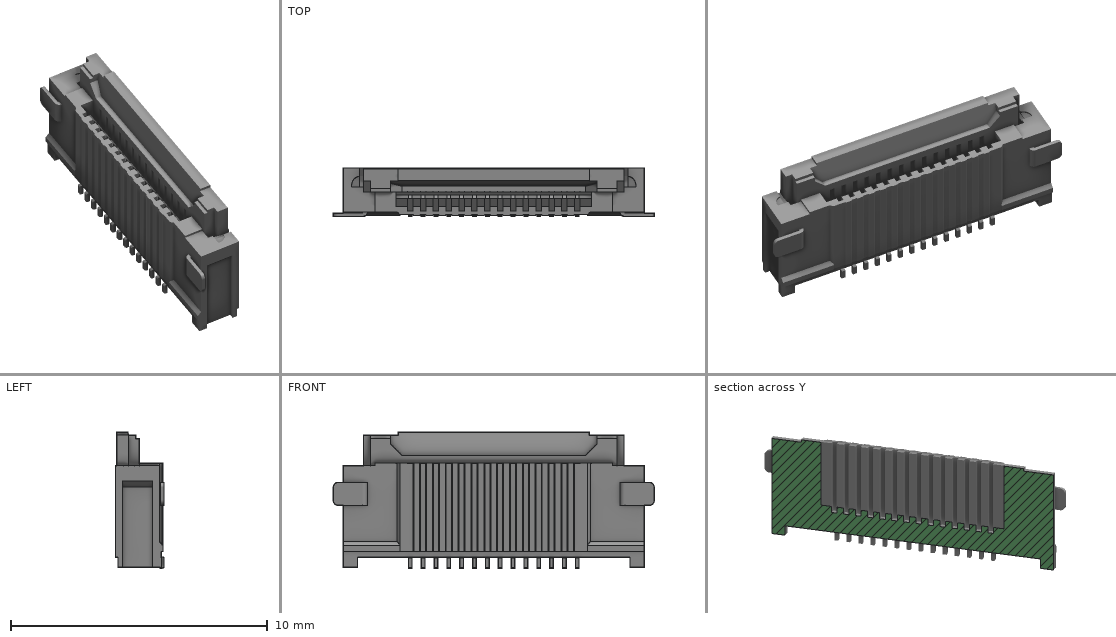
import cadquery as cq


CONTACT_COUNT = 14
PITCH = 0.5
CONTACT_WIDTH = 0.15
contact_xs = [(i - (CONTACT_COUNT - 1) / 2) * PITCH for i in range(CONTACT_COUNT)]
gap_xs = [x + PITCH / 2 for x in contact_xs[:-1]]

BODY_HALF = 5.86
BACK_Y = 0.95
WALL_Y = -0.88
FLANGE_Y = -0.91
BASE_Y = -0.84
FOOT_BOTTOM = 0.04
BODY_BOTTOM = 0.42
BASE_TOP = 0.65
BODY_TOP = 4.0
FOOT_HALF_GAP = 5.3
FOOT_BACK_Y = 0.85

LIP_HALF = 4.62
LIP_TOP = 4.1

PANEL_Y = -0.76
PANEL_INNER_X = 3.76
PANEL_BOTTOM = 1.04
MIDDLE_HALF = PANEL_INNER_X - (PANEL_Y - WALL_Y)
FLANGE_TOP = PANEL_BOTTOM - (PANEL_Y - FLANGE_Y)

RIB_HEIGHT = 0.04
RIB_ROOT_WIDTH = 0.3
RIB_CREST_WIDTH = 0.22

TOWER_HALF = 5.08
TOWER_FRONT_Y = 0.01
TOWER_BACK_Y = 0.9
TOWER_TOP = 5.19
CREST_HALF = 3.72
CREST_TOP = 5.3
CREST_FRONT_Y = 0.46
CORNER_NOTCH_WIDTH = 0.28
CORNER_NOTCH_Y = 0.44
NOTCH_FLOOR = 3.5
TOP_STEP_Y = 0.15
TOP_STEP_Z = 5.05

LEAD_HALF_TOP = 4.02
LEAD_HALF_BOTTOM = 3.58
LEAD_BOTTOM = 4.4
LEAD_CORNER_Z = LEAD_BOTTOM + (LEAD_HALF_TOP - LEAD_HALF_BOTTOM)
LEAD_BOTTOM_Y = 0.24

CAVITY_HALF = 3.8
CAVITY_FRONT_Y = -0.55
CAVITY_FLOOR = 1.5
TONGUE_BACK_Y = -0.1
TONGUE_FRONT_Y = -0.25
TONGUE_TOP = 3.38
CONTACT_TIP = 3.56
SLOT_WIDTH = 0.21
SLOT_FRONT_Y = -0.74
SLOT_BACK_Y = 0.19
SLOT_TOP = 4.08
SLOT_FLOOR = 1.25

POCKET_DEPTH = 0.2
POCKET_BACK_Y = 0.66
POCKET_FRONT_Y = -0.5
POCKET_TOP_OUTER = 3.4
POCKET_TOP_INNER = 3.16

LATCH_HALF = 5.52
LATCH_EDGE_X = 5.22
LATCH_FRONT_Y = 0.21
LATCH_BACK_Y = 0.62
LATCH_ARC_MIDDLE = (5.44, 0.51)
LATCH_DEPTH = 0.08
LATCH_SLOT_DEPTH = 0.15

TAB_TIP_X = 6.25
TAB_INNER_X = 4.91
TAB_FRONT_Y = -0.95
TAB_THICKNESS = 0.14
TAB_ROOT_Y = -0.62
TAB_BOTTOM = 2.45
TAB_TOP = 3.35
TAB_BEND_RADIUS = 0.19
TAB_CORNER_RADIUS = 0.2

TAIL_FRONT_Y = -0.95
TAIL_BACK_Y = -0.79
TAIL_SHOULDER = 0.45
TAIL_BEVEL = 0.04


def box(x0, x1, y0, y1, z0, z1):
    """Axis-aligned block between two opposite corners."""
    return cq.Workplane("XY").box(x1 - x0, y1 - y0, z1 - z0, centered=False).translate((x0, y0, z0))


def centered_box(half, y0, y1, z0, z1):
    return box(-half, half, y0, y1, z0, z1)


def side_profile(x0, x1, points):
    """Outline in (Y, Z) extruded from x0 to x1."""
    return cq.Workplane("YZ").workplane(offset=x0).polyline(points).close().extrude(x1 - x0)


def both_ends(solid):
    """The solid together with its mirror image across X = 0."""
    return solid.union(solid.mirror("YZ"))


def housing():
    body = centered_box(BODY_HALF, BASE_Y, BACK_Y, BODY_BOTTOM, BODY_TOP)
    body = body.union(centered_box(BODY_HALF, BASE_Y, FOOT_BACK_Y, FOOT_BOTTOM, BODY_BOTTOM))
    body = body.cut(centered_box(FOOT_HALF_GAP, BASE_Y, BACK_Y, FOOT_BOTTOM, BODY_BOTTOM))
    body = body.union(centered_box(LIP_HALF, BASE_Y, TOWER_FRONT_Y, BODY_TOP, LIP_TOP))
    return body.union(centered_box(MIDDLE_HALF, WALL_Y, BASE_Y, BASE_TOP, LIP_TOP))


def front_panels(body):
    """Recess both end panels, with bevelled borders to the middle wall and the bottom flange."""
    panel = box(MIDDLE_HALF, BODY_HALF, WALL_Y, PANEL_Y, BASE_TOP, LIP_TOP)
    flange = side_profile(
        MIDDLE_HALF,
        BODY_HALF,
        [(PANEL_Y, BASE_TOP), (FLANGE_Y, BASE_TOP), (FLANGE_Y, FLANGE_TOP), (PANEL_Y, PANEL_BOTTOM)],
    )
    side_bevel = (
        cq.Workplane("XY")
        .workplane(offset=BASE_TOP)
        .polyline([(MIDDLE_HALF, WALL_Y), (PANEL_INNER_X, PANEL_Y), (MIDDLE_HALF, PANEL_Y)])
        .close()
        .extrude(LIP_TOP - BASE_TOP)
    )
    return body.cut(both_ends(panel)).union(both_ends(side_bevel)).union(both_ends(flange))


def ribs():
    root = RIB_ROOT_WIDTH / 2
    crest = RIB_CREST_WIDTH / 2
    crest_y = WALL_Y - RIB_HEIGHT
    outline = [
        (-root, BASE_Y),
        (-root, WALL_Y),
        (-crest, crest_y),
        (crest, crest_y),
        (root, WALL_Y),
        (root, BASE_Y),
    ]
    rib = cq.Workplane("XY").workplane(offset=BASE_TOP).polyline(outline).close().extrude(LIP_TOP - BASE_TOP)
    row = rib.translate((gap_xs[0], 0, 0))
    for x in gap_xs[1:]:
        row = row.union(rib.translate((x, 0, 0)))
    return row


def corner_notch():
    """Cut along the front tower corner that also sinks into the housing top."""
    notch_x = TOWER_HALF - CORNER_NOTCH_WIDTH
    return box(notch_x, TOWER_HALF, TOWER_FRONT_Y, CORNER_NOTCH_Y, NOTCH_FLOOR, TOWER_TOP)


def tower():
    block = centered_box(TOWER_HALF, TOWER_FRONT_Y, TOWER_BACK_Y, BODY_TOP, TOWER_TOP)
    block = block.union(centered_box(CREST_HALF, LEAD_BOTTOM_Y, TOWER_BACK_Y, TOWER_TOP, CREST_TOP))
    top_step = centered_box(TOWER_HALF, TOWER_FRONT_Y, TOP_STEP_Y, TOP_STEP_Z, TOWER_TOP)
    return block.cut(top_step).cut(lead_in())


def lead_in():
    """Sloped opening: a chamfer-cornered front outline limited by an inclined back face."""
    outline = (
        cq.Workplane("XZ")
        .polyline(
            [
                (-LEAD_HALF_TOP, CREST_TOP),
                (-LEAD_HALF_TOP, LEAD_CORNER_Z),
                (-LEAD_HALF_BOTTOM, LEAD_BOTTOM),
                (LEAD_HALF_BOTTOM, LEAD_BOTTOM),
                (LEAD_HALF_TOP, LEAD_CORNER_Z),
                (LEAD_HALF_TOP, CREST_TOP),
            ]
        )
        .close()
        .extrude(-CREST_FRONT_Y)
    )
    slope = side_profile(
        -LEAD_HALF_TOP,
        LEAD_HALF_TOP,
        [
            (TOWER_FRONT_Y, LEAD_BOTTOM),
            (LEAD_BOTTOM_Y, LEAD_BOTTOM),
            (CREST_FRONT_Y, CREST_TOP),
            (TOWER_FRONT_Y, CREST_TOP),
        ],
    )
    return outline.intersect(slope)


def contact_cavity(body):
    body = body.cut(centered_box(CAVITY_HALF, CAVITY_FRONT_Y, TOWER_FRONT_Y, CAVITY_FLOOR, LIP_TOP))
    for x in contact_xs:
        left = x - SLOT_WIDTH / 2
        right = x + SLOT_WIDTH / 2
        body = body.cut(box(left, right, SLOT_FRONT_Y, TONGUE_FRONT_Y, SLOT_FLOOR, LIP_TOP))
        body = body.cut(box(left, right, TOWER_FRONT_Y, SLOT_BACK_Y, CAVITY_FLOOR, SLOT_TOP))
    body = body.union(centered_box(CAVITY_HALF, TONGUE_FRONT_Y, TONGUE_BACK_Y, CAVITY_FLOOR, TONGUE_TOP))
    tip = [
        (TONGUE_FRONT_Y, TONGUE_TOP),
        (TONGUE_BACK_Y, TONGUE_TOP),
        (TONGUE_FRONT_Y, CONTACT_TIP),
    ]
    for x in contact_xs:
        body = body.union(side_profile(x - CONTACT_WIDTH / 2, x + CONTACT_WIDTH / 2, tip))
    return body


def end_pocket():
    inner_x = BODY_HALF - POCKET_DEPTH
    return (
        cq.Workplane("XZ", origin=(0, POCKET_BACK_Y, 0))
        .polyline(
            [
                (inner_x, FOOT_BOTTOM),
                (BODY_HALF, FOOT_BOTTOM),
                (BODY_HALF, POCKET_TOP_OUTER),
                (inner_x, POCKET_TOP_INNER),
            ]
        )
        .close()
        .extrude(POCKET_BACK_Y - POCKET_FRONT_Y)
    )


def latch_recess():
    """Shallow round-cornered recess, with a sloped slot open to the back along the tower."""
    shallow = (
        cq.Workplane("XY")
        .workplane(offset=BODY_TOP - LATCH_DEPTH)
        .moveTo(TOWER_HALF, LATCH_FRONT_Y)
        .lineTo(LATCH_HALF, LATCH_FRONT_Y)
        .threePointArc(LATCH_ARC_MIDDLE, (LATCH_EDGE_X, LATCH_BACK_Y))
        .lineTo(TOWER_HALF, LATCH_BACK_Y)
        .close()
        .extrude(LATCH_DEPTH)
    )
    slot = side_profile(
        TOWER_HALF,
        LATCH_EDGE_X,
        [
            (LATCH_FRONT_Y, BODY_TOP),
            (LATCH_FRONT_Y, BODY_TOP - LATCH_DEPTH),
            (LATCH_BACK_Y, BODY_TOP - LATCH_SLOT_DEPTH),
            (BACK_Y, BODY_TOP - LATCH_SLOT_DEPTH),
            (BACK_Y, BODY_TOP),
        ],
    )
    return shallow.union(slot)


def solder_tab():
    """Flat tab standing just off the panel, bent back into the housing at its inner end."""
    back_y = TAB_FRONT_Y + TAB_THICKNESS
    plate = box(TAB_INNER_X, TAB_TIP_X, TAB_FRONT_Y, back_y, TAB_BOTTOM, TAB_TOP)
    plate = plate.edges("|Y and >X").fillet(TAB_CORNER_RADIUS)
    leg = box(TAB_INNER_X, TAB_INNER_X + TAB_BEND_RADIUS, TAB_FRONT_Y, TAB_ROOT_Y, TAB_BOTTOM, TAB_TOP)
    return plate.union(leg).edges("|Z and <X and <Y").fillet(TAB_BEND_RADIUS)


def contact_tail():
    outline = [
        (TAIL_BACK_Y, BASE_TOP),
        (TAIL_BACK_Y, 0),
        (TAIL_FRONT_Y + 2 * TAIL_BEVEL, 0),
        (TAIL_FRONT_Y, TAIL_BEVEL),
        (TAIL_FRONT_Y, TAIL_SHOULDER - TAIL_BEVEL),
        (TAIL_FRONT_Y + TAIL_BEVEL, TAIL_SHOULDER),
        (BASE_Y, TAIL_SHOULDER),
        (BASE_Y, BASE_TOP),
    ]
    return side_profile(-CONTACT_WIDTH / 2, CONTACT_WIDTH / 2, outline)


connector = front_panels(housing()).union(ribs()).union(tower())
connector = contact_cavity(connector)
connector = connector.cut(both_ends(end_pocket())).cut(both_ends(latch_recess()))
connector = connector.cut(both_ends(corner_notch()))
connector = connector.union(both_ends(solder_tab()))
tail = contact_tail()
for tail_x in contact_xs:
    connector = connector.union(tail.translate((tail_x, 0, 0)))

result = connector